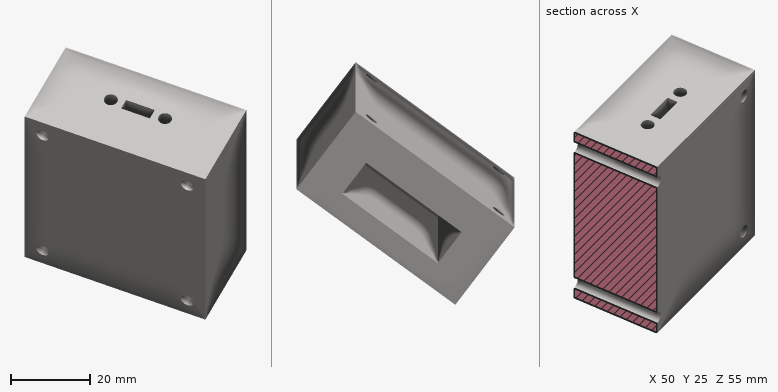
import cadquery as cq

height = 55.0
grid = height / 11
width = 10 * grid
depth = 5 * grid

hole_diameter = 3.5

corner_inset = grid

port_offset_y = 1.5
slot_length = 8.0
slot_width = 3.0
port_hole_spacing = 3 * grid

top_wall = grid
cavity_width = 6 * grid
cavity_depth = 2 * grid


def make_corner_holes():
    """Four cylinders along Y, centred on the block."""
    return (
        cq.Workplane("XZ")
        .rect(width - 2 * corner_inset, height - 2 * corner_inset, forConstruction=True)
        .vertices()
        .circle(hole_diameter / 2)
        .extrude(depth / 2, both=True)
    )


def make_port():
    """Slot and two screw holes, from the top face down to the cavity."""
    top_plane = cq.Workplane("XY", origin=(0, port_offset_y, height / 2))
    slot = top_plane.rect(slot_length, slot_width).extrude(-top_wall)
    screw_holes = (
        top_plane
        .rarray(port_hole_spacing, 0.55, 2, 1)
        .circle(hole_diameter / 2)
        .extrude(-top_wall)
    )
    return slot.add(screw_holes).combine()


def make_cavity():
    """Rectangular pocket from the bottom face up to the top wall, in line with the port."""
    bottom_plane = cq.Workplane("XY", origin=(0, port_offset_y, -height / 2))
    return bottom_plane.rect(cavity_width, cavity_depth).extrude(height - top_wall)


block = cq.Workplane("XY").box(width, depth, height)
result = block.cut(make_corner_holes()).cut(make_cavity()).cut(make_port())